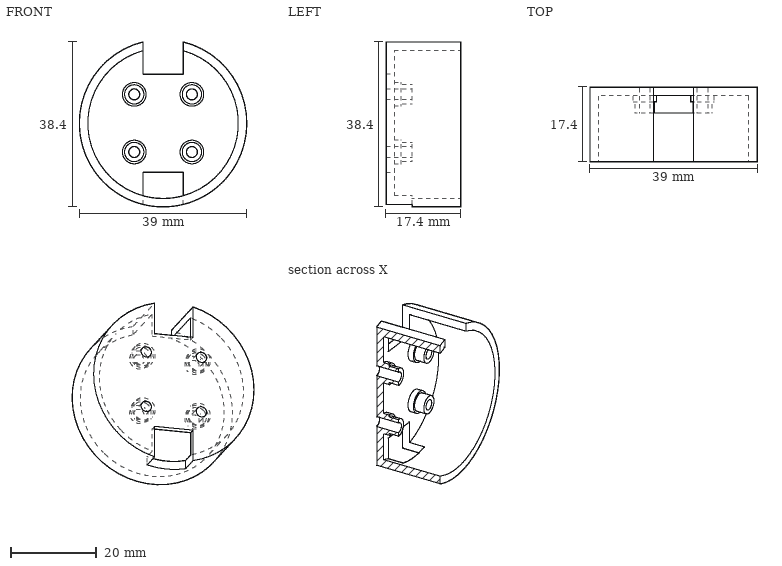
import cadquery as cq

outer_radius = 19.5
wall = 2.0
depth = 17.4
floor = 2.0

slot_width = 9.32
slot_offset = 11.43
lower_slot_depth = 6.0

standoff_spacing = 13.4
base_diameter = 5.5
base_height = 1.5
pin_diameter = 4.5
pin_height = 2.55
hole_diameter = 2.5


def cylinder(diameter, start, length, x=0, z=0):
    """Cylinder whose axis is parallel to Y, running from Y = -start towards -Y."""
    return cq.Workplane("XZ", origin=(x, -start, z)).circle(diameter / 2).extrude(length)


def slot(length, direction):
    """Cutter from the slot's inner edge out past the rim; direction is +1 up, -1 down."""
    height = outer_radius - slot_offset
    middle = direction * (slot_offset + height / 2)
    return cq.Workplane("XZ").center(0, middle).rect(slot_width, height).extrude(length)


def cup():
    body = cylinder(2 * outer_radius, 0, depth)
    cavity = cylinder(2 * (outer_radius - wall), floor, depth - floor)
    return body.cut(cavity)


result = cup()

result = result.cut(slot(depth, 1))
result = result.cut(slot(lower_slot_depth, -1))

half_spacing = standoff_spacing / 2
standoff_height = base_height + pin_height
for x in (-half_spacing, half_spacing):
    for z in (-half_spacing, half_spacing):
        result = result.union(cylinder(base_diameter, floor, base_height, x, z))
        result = result.union(cylinder(pin_diameter, floor, standoff_height, x, z))
        result = result.cut(cylinder(hole_diameter, 0, floor + standoff_height, x, z))